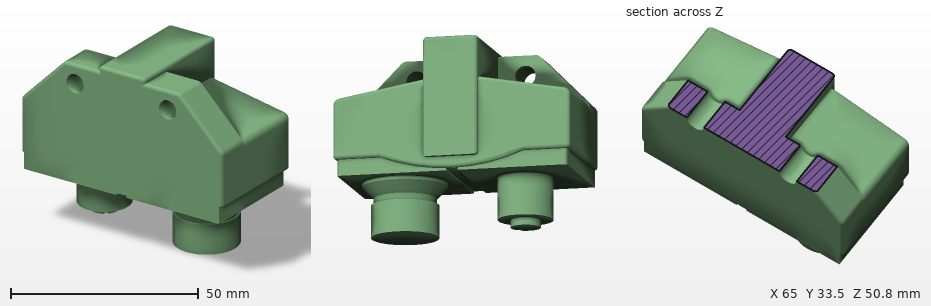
import cadquery as cq
import math

cover_width = 65.0
cover_depth = 32.0
cover_bottom = 4.4
side_top = 20.7
edge_radius = 1.0
bend_radius = 2.0
rounding_top = cover_bottom + edge_radius

panel_depth = 10.0
panel_top = 34.65
shoulder_half = cover_width / 2 - (panel_top - side_top)

slope_angle = 10.0
ridge_height = side_top + cover_width / 2 * math.tan(math.radians(slope_angle))

band_width = 14.95
band_depth = 33.5
band_bottom = 3.65
band_top = 36.15

lip_bottom = 0.6
lip_radius = 52.0

base_step = 1.0
base_width = cover_width - 2 * base_step
base_depth = cover_depth - base_step
slot_width = 3.2
slot_height = 0.6

hole_diameter = 5.5
hole_spacing = 29.9
hole_height = 29.1

outlet_spacing = 33.0
outlet_y = cover_depth / 2
barrel_diameter = 14.95
barrel_length = 11.4
insert_diameter = 8.05
insert_length = 2.1
key_width = 0.9
key_depth = 0.8
key_angle = -48.0

flange_diameter = 23.1
flange_thickness = 0.85
neck_diameter = 16.9
neck_end = 5.85
nut_diameter = 18.25
connector_length = 14.6


def block(width, depth, bottom, top):
    """Box centred on X, with its front face at Y = 0."""
    return (
        cq.Workplane("XY")
        .workplane(offset=bottom)
        .center(0, depth / 2)
        .rect(width, depth)
        .extrude(top - bottom)
    )


def extrude_back(outline, start, end):
    """Extrude an XZ outline from Y = start to Y = end."""
    return cq.Workplane("XZ", origin=(0, start, 0)).polyline(outline).close().extrude(start - end)


def make_front_panel():
    half = cover_width / 2
    outline = [
        (-half, cover_bottom),
        (half, cover_bottom),
        (half, side_top),
        (shoulder_half, panel_top),
        (-shoulder_half, panel_top),
        (-half, side_top),
    ]
    panel = extrude_back(outline, 0, panel_depth)
    panel = panel.edges("|Y and (not <Z)").fillet(bend_radius)
    panel = panel.edges("|Y and <Z").fillet(edge_radius)
    return panel.faces("<Y").edges("not <Z").fillet(edge_radius)


def make_rear_cover():
    half = cover_width / 2
    outline = [
        (-half, cover_bottom),
        (half, cover_bottom),
        (half, side_top),
        (0, ridge_height),
        (-half, side_top),
    ]
    rear = extrude_back(outline, panel_depth, cover_depth)
    rear = rear.edges("|Y and (<X or >X) and (not <Z)").fillet(bend_radius)
    rear = rear.edges("|Y and <Z").fillet(edge_radius)
    return rear.faces(">Y").edges().fillet(edge_radius)


def make_band():
    band = block(band_width, band_depth, band_bottom, band_top)
    side_edges = band.faces("<X or >X").edges()
    top_edges = band.faces(">Z").edges("|X")
    return band.newObject(side_edges.vals() + top_edges.vals()).fillet(edge_radius)


def make_lip():
    centre_height = lip_bottom + lip_radius
    disc = cq.Workplane("XZ").center(0, centre_height).circle(lip_radius).extrude(-cover_depth)
    disc = disc.faces(">Y").edges().fillet(edge_radius)
    return disc.intersect(block(cover_width, cover_depth, lip_bottom, rounding_top))


def make_base():
    base = block(base_width, base_depth, 0, rounding_top)
    base = base.edges("|Z and >Y").fillet(edge_radius)
    slot = block(slot_width, base_depth, 0, slot_height)
    return base.cut(slot)


def make_barrel():
    barrel = cq.Workplane("XY").circle(barrel_diameter / 2).extrude(-barrel_length)
    insert = (
        cq.Workplane("XY")
        .workplane(offset=-barrel_length)
        .circle(insert_diameter / 2)
        .extrude(-insert_length)
    )
    keyway = (
        cq.Workplane("XY")
        .workplane(offset=-barrel_length)
        .center(insert_diameter / 2, 0)
        .rect(2 * key_depth, key_width)
        .extrude(-insert_length)
        .rotate((0, 0, 0), (0, 0, 1), key_angle)
    )
    return barrel.union(insert.cut(keyway)).translate((-outlet_spacing / 2, outlet_y, 0))


def make_housing():
    housing = make_base()
    for piece in (make_rear_cover(), make_front_panel(), make_lip(), make_band(), make_barrel()):
        housing = housing.union(piece)
    holes = (
        cq.Workplane("XZ")
        .pushPoints([(-hole_spacing / 2, hole_height), (hole_spacing / 2, hole_height)])
        .circle(hole_diameter / 2)
        .extrude(-panel_depth)
    )
    return housing.cut(holes)


def make_connector():
    flange_radius = flange_diameter / 2
    neck_radius = neck_diameter / 2
    nut_radius = nut_diameter / 2
    cone_end = flange_thickness + flange_radius - neck_radius
    half_profile = [
        (0, 0),
        (flange_radius, 0),
        (flange_radius, -flange_thickness),
        (neck_radius, -cone_end),
        (neck_radius, -neck_end),
        (nut_radius, -neck_end),
        (nut_radius, -connector_length),
        (0, -connector_length),
    ]
    turned = cq.Workplane("XZ").polyline(half_profile).close().revolve(360, (0, 0), (0, 1))
    return turned.translate((outlet_spacing / 2, outlet_y, 0))


housing = make_housing()
connector = make_connector()
result = cq.Compound.makeCompound([housing.val(), connector.val()])